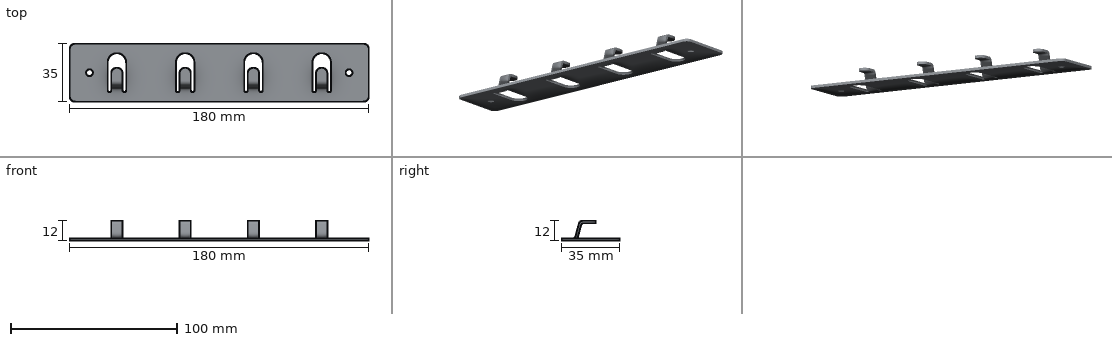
import cadquery as cq
import math

length = 180.0
width = 35.0
height = 12.0
thickness = 1.6
corner_radius = 3.2

screw_diameter = 4.0
screw_spacing = 156.0

hook_count = 4
hook_pitch = 41.0
hook_width = 7.0
hook_tip_y = 3.0
hook_root_y = -9.5
leg_lean = 15.0
inner_bend_radius = 0.9
outer_bend_radius = inner_bend_radius + thickness

opening_width = 11.0
opening_end_y = 11.7
slit_width = (opening_width - hook_width) / 2


def rounded_tongue(tongue_width, start_y, tip_y, depth):
    """Upright slab from start_y to tip_y, with a fully round +Y end."""
    radius = tongue_width / 2
    return (
        cq.Workplane("XY")
        .moveTo(-radius, start_y)
        .lineTo(-radius, tip_y - radius)
        .threePointArc((0, tip_y), (radius, tip_y - radius))
        .lineTo(radius, start_y)
        .close()
        .extrude(depth)
    )


def make_plate():
    plate = (
        cq.Workplane("XY")
        .box(length, width, thickness, centered=(True, True, False))
        .edges("|Z")
        .fillet(corner_radius)
    )
    screws = (
        cq.Workplane("XY")
        .pushPoints([(-screw_spacing / 2, 0), (screw_spacing / 2, 0)])
        .circle(screw_diameter / 2)
        .extrude(thickness)
    )
    return plate.cut(screws)


def make_opening():
    """Round-topped opening with a round-ended slit on each side of the hook root."""
    slit_end_y = -opening_end_y + slit_width / 2
    opening = rounded_tongue(opening_width, slit_end_y, opening_end_y, thickness)
    slit_x = (hook_width + slit_width) / 2
    slit_ends = (
        cq.Workplane("XY")
        .pushPoints([(-slit_x, slit_end_y), (slit_x, slit_end_y)])
        .circle(slit_width / 2)
        .extrude(thickness)
    )
    return opening.union(slit_ends)


def make_hook():
    """Strip bent up from the plate into a leaning leg and a level, round-tipped lip."""
    lean = math.radians(leg_lean)
    leg_depth = thickness / math.cos(lean)

    def front_y(z):
        return hook_root_y + (z - thickness) * math.tan(lean)

    def back_y(z):
        return front_y(z) + leg_depth

    lip_bottom = height - thickness
    strip = (
        cq.Workplane("YZ")
        .polyline([
            (-opening_end_y, 0),
            (back_y(0), 0),
            (back_y(lip_bottom), lip_bottom),
            (hook_tip_y, lip_bottom),
            (hook_tip_y, height),
            (front_y(height), height),
            (hook_root_y, thickness),
            (-opening_end_y, thickness),
        ])
        .close()
        .extrude(hook_width / 2, both=True)
    )

    def round_bend(body, y, z, radius):
        bend_edge = body.edges(cq.selectors.NearestToPointSelector((0, y, z)))
        return bend_edge.fillet(radius)

    strip = round_bend(strip, back_y(0), 0, outer_bend_radius)
    strip = round_bend(strip, hook_root_y, thickness, inner_bend_radius)
    strip = round_bend(strip, front_y(height), height, outer_bend_radius)
    strip = round_bend(strip, back_y(lip_bottom), lip_bottom, inner_bend_radius)
    return strip.intersect(rounded_tongue(hook_width, -opening_end_y, hook_tip_y, height))


result = make_plate()
opening = make_opening()
hook = make_hook()
for index in range(hook_count):
    hook_x = (index - (hook_count - 1) / 2) * hook_pitch
    result = result.cut(opening.translate((hook_x, 0, 0)))
    result = result.union(hook.translate((hook_x, 0, 0)))